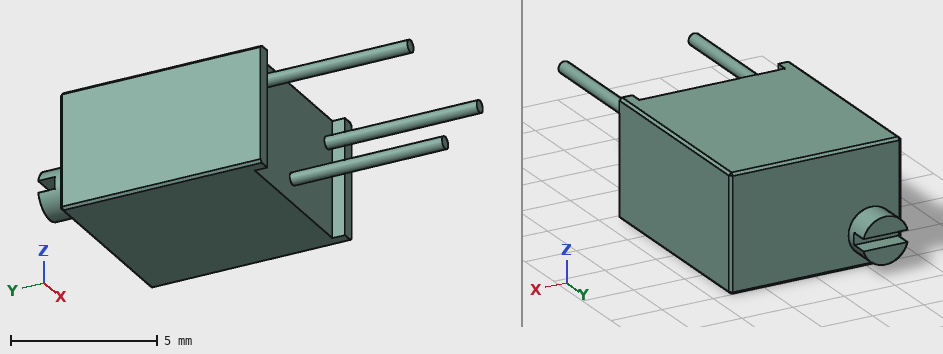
import cadquery as cq

housing_width = 6.72
housing_length = 7.75
housing_height = 4.5
edge_chamfer = 0.1
leg_width = 0.51
leg_length = 0.48

overall_length = 14.14
screw_diameter = 1.78
screw_length = 1.0
screw_x = -housing_width / 2 + 1.2
screw_z = -housing_height / 2 + 1.27
slot_width = 0.45
slot_depth = 0.65

pin_diameter = 0.47
pin_pitch = 2.55
pin_tip_y = housing_length + screw_length - overall_length
pin_length = leg_length - pin_tip_y
first_pin_x = -housing_width / 2 + 0.76
upper_pin_z = housing_height / 2 - 1.0
lower_pin_z = upper_pin_z - pin_pitch
pin_positions = [
    (first_pin_x, upper_pin_z),
    (first_pin_x + pin_pitch, lower_pin_z),
    (first_pin_x + 2 * pin_pitch, upper_pin_z),
]


def cylinder_along_y(diameter, length, x, start_y, z):
    """Cylinder that runs from start_y toward +Y."""
    axis_start = cq.Vector(x, start_y, z)
    return cq.Workplane(cq.Solid.makeCylinder(diameter / 2, length, axis_start, cq.Vector(0, 1, 0)))


def make_housing():
    """Chamfered box with a full-height recess that leaves a leg on each side."""
    block = (
        cq.Workplane("XY")
        .box(housing_width, housing_length, housing_height)
        .translate((0, housing_length / 2, 0))
        .edges("|Y or >Y")
        .chamfer(edge_chamfer)
    )
    recess = (
        cq.Workplane("XY")
        .box(housing_width - 2 * leg_width, leg_length, housing_height)
        .translate((0, leg_length / 2, 0))
    )
    return block.cut(recess)


def make_screw():
    """Round screw head with a driver slot along X across its end."""
    head = cylinder_along_y(screw_diameter, screw_length, screw_x, housing_length, screw_z)
    slot_y = housing_length + screw_length - slot_depth / 2
    slot = (
        cq.Workplane("XY")
        .box(screw_diameter, slot_depth, slot_width)
        .translate((screw_x, slot_y, screw_z))
    )
    return head.cut(slot)


def make_pin(x, z):
    """Straight round terminal pin, ending flush on the recess floor."""
    return cylinder_along_y(pin_diameter, pin_length, x, pin_tip_y, z)


housing = make_housing()
screw = make_screw()
pins = [make_pin(x, z) for x, z in pin_positions]

result = cq.Compound.makeCompound([housing.val(), screw.val(), *[pin.val() for pin in pins]])